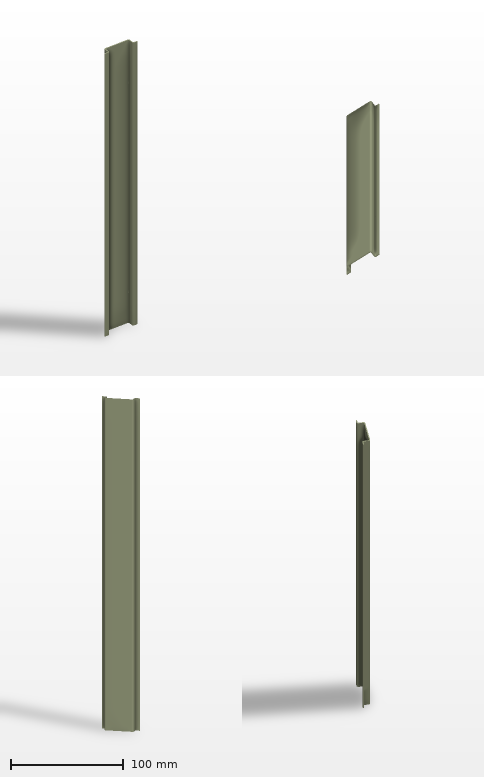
import cadquery as cq

length = 300.0
depth = 7.5
rail_width = 35.0
hat_width = 27.0
thickness = 1.0
inner_bend_radius = 0.5
outer_bend_radius = inner_bend_radius + thickness

half_rail = rail_width / 2
half_hat = hat_width / 2
half_cavity = half_hat - thickness
web_face = -depth / 2
flange_face = depth / 2
web_inside = web_face + thickness
flange_inside = flange_face - thickness

half_outline = [
    (web_face, half_hat),
    (flange_inside, half_hat),
    (flange_inside, half_rail),
    (flange_face, half_rail),
    (flange_face, half_cavity),
    (web_inside, half_cavity),
]
mirrored_outline = [(x, -y) for x, y in reversed(half_outline)]

rail = (
    cq.Workplane("XY")
    .polyline(half_outline + mirrored_outline)
    .close()
    .extrude(length)
    .translate((0, 0, -length / 2))
)


def round_bends(body, corners, radius):
    """Round the bend edges, at the given X and both mirrored Y positions."""
    for x, y in corners:
        for side in (1, -1):
            body = body.edges(cq.NearestToPointSelector((x, side * y, 0))).fillet(radius)
    return body


outside_corners = [(web_face, half_hat), (flange_face, half_cavity)]
inside_corners = [(web_inside, half_cavity), (flange_inside, half_hat)]
rail = round_bends(rail, inside_corners, inner_bend_radius)
rail = round_bends(rail, outside_corners, outer_bend_radius)

result = rail